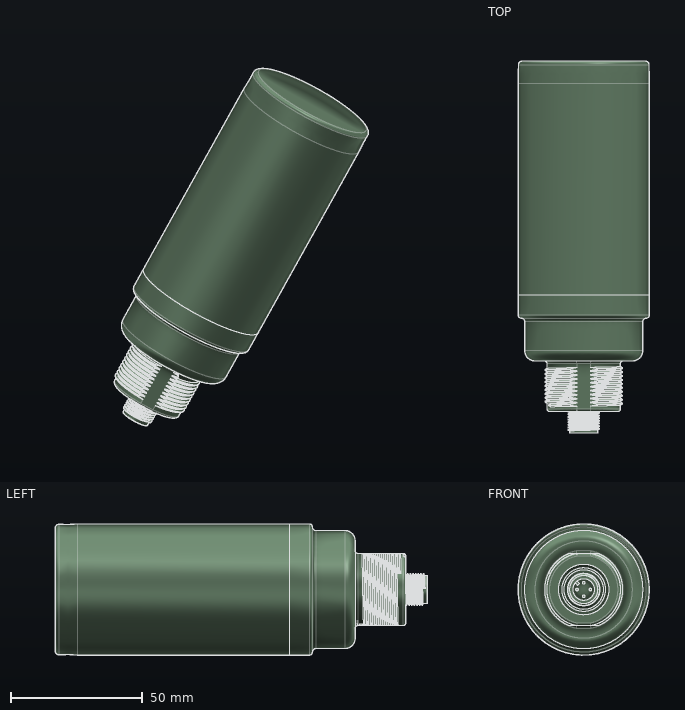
import cadquery as cq
import math


tip_y = 0.0
spigot_face_y = 8.2
front_face_y = 27.4
shoulder_y = 43.65
joint_y = 52.5
cap_y = 133.0
back_y = 141.5

body_r = 25.0
cap_draft_deg = 1.0
back_fillet = 1.5

neck_r = 22.5
shoulder_fillet = (body_r - neck_r) / 2
neck_fillet = 4.0

spigot_r = 14.0
spigot_fillet = 1.0
foot_margin = 0.1
across_flats = 27.5
mount_thread_r = 14.8
mount_pitch = 1.5
mount_thread_start_y = 10.6
mount_thread_end_y = 25.2
mount_thread_angle = 154.0

bore_r = 9.6
bore_depth = 14.0
bore_floor_y = spigot_face_y + bore_depth
floor_taper = 1.3
floor_taper_length = 4.0
taper_y = bore_floor_y - floor_taper_length
bore_thread_r = 11.3
bore_pitch = 1.75
bore_thread_end_y = 17.5
bore_thread_angle = 100.0

barrel_r = 5.35
barrel_collar_r = 6.2
barrel_thread_r = 6.05
barrel_pitch = 1.0
barrel_thread_start_y = 1.2
barrel_thread_end_y = taper_y - barrel_pitch
barrel_thread_angle = 175.0
socket_r = 4.1
socket_depth = 8.0
key_width = 1.0
key_inner_r = 2.75
key_angle = 135.0
key_setback = 2.5

pin_count = 4
pin_r = 0.5
pin_circle_r = 2.55
pin_length = 6.0

thread_root_share = 0.9
thread_crest_share = 0.15
thread_overlap = 0.1


def rod(radius, start_y, end_y):
    """Plain cylinder on the Y axis."""
    return cq.Workplane("XZ", origin=(0, start_y, 0)).circle(radius).extrude(start_y - end_y)


def helical_ridge(root_r, crest_r, pitch, start_y, end_y, start_angle):
    """Right-hand helical ridge of trapezoid section; start_angle is measured from +X towards +Z."""
    root_half = pitch * thread_root_share / 2
    crest_half = pitch * thread_crest_share / 2
    length = end_y - start_y
    path = cq.Wire.makeHelix(pitch, length, root_r)
    section = (
        cq.Workplane("XZ")
        .moveTo(root_r, -root_half)
        .lineTo(crest_r, -crest_half)
        .lineTo(crest_r, crest_half)
        .lineTo(root_r, root_half)
        .close()
    )
    ridge = section.sweep(cq.Workplane(path), isFrenet=True)
    along_y = ridge.rotate((0, 0, 0), (1, 0, 0), -90)
    return along_y.rotate((0, 0, 0), (0, 1, 0), -start_angle).translate((0, start_y, 0))


def make_sleeve():
    """Long solid cylinder closed by a slightly drafted, rounded cap."""
    back_r = body_r - (back_y - cap_y) * math.tan(math.radians(cap_draft_deg))
    profile = (
        cq.Workplane("XY")
        .moveTo(0, joint_y)
        .lineTo(body_r, joint_y)
        .lineTo(body_r, cap_y)
        .lineTo(back_r, back_y)
        .lineTo(0, back_y)
        .close()
    )
    sleeve = profile.revolve(360, (0, 0, 0), (0, 1, 0))
    return sleeve.faces(">Y").edges().fillet(back_fillet)


def make_head_blank():
    """Shoulder with an S-shaped step down to the neck, and the rounded front face."""
    shoulder_top_y = shoulder_y + shoulder_fillet
    shoulder_bottom_y = shoulder_y - shoulder_fillet
    mid_r = body_r - shoulder_fillet
    profile = (
        cq.Workplane("XY")
        .moveTo(0, joint_y)
        .lineTo(body_r, joint_y)
        .lineTo(body_r, shoulder_top_y)
        .radiusArc((mid_r, shoulder_y), shoulder_fillet)
        .radiusArc((neck_r, shoulder_bottom_y), -shoulder_fillet)
        .lineTo(neck_r, front_face_y + neck_fillet)
        .radiusArc((neck_r - neck_fillet, front_face_y), neck_fillet)
        .lineTo(0, front_face_y)
        .close()
    )
    return profile.revolve(360, (0, 0, 0), (0, 1, 0))


def make_bore_plug():
    """Form of the plain bore, which ends in a ring channel around the tapered barrel collar."""
    profile = (
        cq.Workplane("XY")
        .moveTo(0, spigot_face_y)
        .lineTo(bore_r, spigot_face_y)
        .lineTo(bore_r, taper_y)
        .lineTo(bore_r - floor_taper, bore_floor_y)
        .lineTo(barrel_collar_r + floor_taper, bore_floor_y)
        .lineTo(barrel_collar_r, taper_y)
        .lineTo(0, taper_y)
        .close()
    )
    return profile.revolve(360, (0, 0, 0), (0, 1, 0))


def make_spigot():
    """Spigot with threads inside and outside, two flats and a rounded rim."""
    bore_groove = helical_ridge(
        bore_r - thread_overlap, bore_thread_r, bore_pitch,
        spigot_face_y - bore_pitch, bore_thread_end_y, bore_thread_angle,
    )
    mount_thread = helical_ridge(
        spigot_r - thread_overlap, mount_thread_r, mount_pitch,
        mount_thread_start_y, mount_thread_end_y, mount_thread_angle,
    )
    slab = cq.Workplane("XY").box(2 * body_r, 2 * back_y, across_flats)
    spigot = rod(spigot_r, spigot_face_y, front_face_y)
    spigot = spigot.cut(make_bore_plug()).cut(bore_groove)
    spigot = spigot.union(mount_thread).intersect(slab)
    rim = spigot.faces("<Y").val().outerWire()
    return spigot.newObject(rim.Edges()).fillet(spigot_fillet)


def make_barrel():
    """Threaded connector barrel with a keyed socket and the contact pins on the socket floor."""
    socket_floor_y = tip_y + socket_depth
    barrel = rod(barrel_r, tip_y, taper_y).cut(rod(socket_r, tip_y, socket_floor_y))
    key_outer_r = (socket_r + barrel_r) / 2
    key = (
        cq.Workplane("XY")
        .box(key_outer_r - key_inner_r, socket_depth - key_setback, key_width, centered=(False, False, True))
        .translate((key_inner_r, tip_y + key_setback, 0))
        .rotate((0, 0, 0), (0, 1, 0), -key_angle)
    )
    barrel = barrel.union(key)
    for index in range(pin_count):
        angle = 2 * math.pi * index / pin_count
        pin = rod(pin_r, socket_floor_y - pin_length, socket_floor_y)
        pin_place = (pin_circle_r * math.cos(angle), 0, pin_circle_r * math.sin(angle))
        barrel = barrel.union(pin.translate(pin_place))
    thread = helical_ridge(
        barrel_r - thread_overlap, barrel_thread_r, barrel_pitch,
        barrel_thread_start_y, barrel_thread_end_y, barrel_thread_angle,
    )
    return barrel.union(thread)


def make_head():
    """Head blank joined to the finished spigot, with a fillet around the foot of the spigot."""
    spigot = make_spigot().union(make_barrel())
    head = make_head_blank().union(spigot)
    foot_reach = spigot_r + foot_margin
    foot_edges = cq.selectors.BoxSelector(
        (-foot_reach, front_face_y - foot_margin, -foot_reach),
        (foot_reach, front_face_y + foot_margin, foot_reach),
        boundingbox=True,
    )
    return head.edges(foot_edges).fillet(spigot_fillet)


sleeve = make_sleeve()
head = make_head()
result = cq.Compound.makeCompound([sleeve.val(), head.val()])